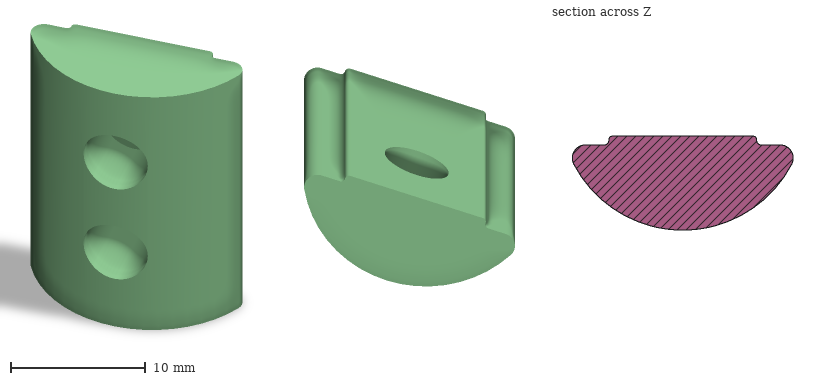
import cadquery as cq
import math

width = 16.4
depth = 7.0
height = 22.0

tab_width = 11.0
tab_height = 0.65
tab_fillet_radius = 0.3
ear_radius = 1.0

hole_diameter = 5.0
through_hole_z = 7.0
hole_spacing = 8.5
blind_hole_z = through_hole_z + hole_spacing
drill_point_angle = 138.0
blind_wall_depth = 5.0

shoulder_y = -tab_height
front_y = -depth
ear_center_x = width / 2 - ear_radius
ear_center_y = shoulder_y - ear_radius

ear_rise = ear_center_y - front_y
front_radius = (ear_center_x**2 + ear_rise**2 - ear_radius**2) / (2 * (ear_rise - ear_radius))
front_center_y = front_y + front_radius
tangent_ratio = front_radius / (front_radius - ear_radius)
tangent_x = ear_center_x * tangent_ratio
tangent_y = front_center_y + (ear_center_y - front_center_y) * tangent_ratio


def make_body():
    """Extrude the cross-section along Z and round the steps beside the tab."""
    half_tab = tab_width / 2
    half_width = width / 2
    body = (
        cq.Workplane("XY")
        .moveTo(-half_tab, 0)
        .lineTo(half_tab, 0)
        .lineTo(half_tab, shoulder_y)
        .lineTo(ear_center_x, shoulder_y)
        .tangentArcPoint((half_width, ear_center_y), relative=False)
        .tangentArcPoint((tangent_x, tangent_y), relative=False)
        .threePointArc((0, front_y), (-tangent_x, tangent_y))
        .tangentArcPoint((-half_width, ear_center_y), relative=False)
        .tangentArcPoint((-ear_center_x, shoulder_y), relative=False)
        .lineTo(-half_tab, shoulder_y)
        .close()
        .extrude(height)
    )
    margin = ear_radius / 2
    step_zone = cq.selectors.BoxSelector(
        (-half_tab - margin, shoulder_y - margin, 0),
        (half_tab + margin, margin, height),
    )
    return body.edges("|Z").edges(step_zone).fillet(tab_fillet_radius)


def make_through_hole():
    """Cylinder along Y that passes through the full depth."""
    return (
        cq.Workplane("XZ", origin=(0, 0, through_hole_z))
        .circle(hole_diameter / 2)
        .extrude(depth)
    )


def make_blind_hole():
    """Cylinder with a conical drill point, turned about the hole axis along Y."""
    radius = hole_diameter / 2
    wall_end_y = front_y + blind_wall_depth
    tip_y = wall_end_y + radius / math.tan(math.radians(drill_point_angle / 2))
    return (
        cq.Workplane("XY", origin=(0, 0, blind_hole_z))
        .moveTo(0, front_y)
        .lineTo(radius, front_y)
        .lineTo(radius, wall_end_y)
        .lineTo(0, tip_y)
        .close()
        .revolve(360, (0, 0, 0), (0, 1, 0))
    )


result = make_body().cut(make_through_hole()).cut(make_blind_hole())